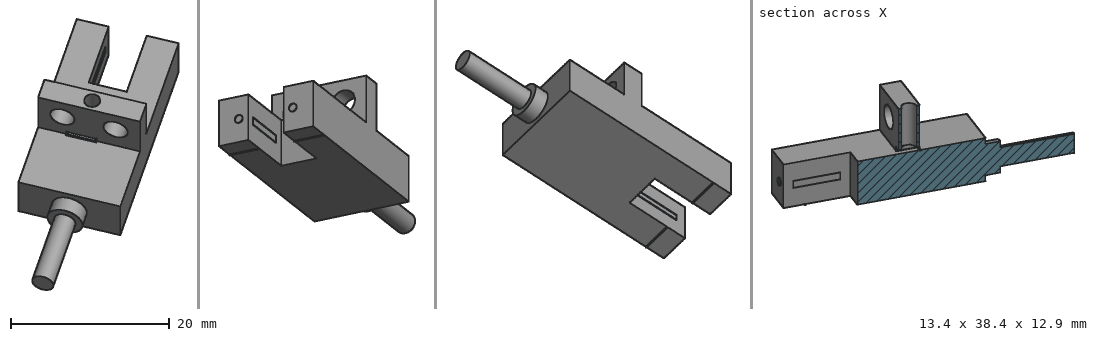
import cadquery as cq

total_length = 38.4
width = 13.4
total_height = 12.9
mark_height = 0.1
tip_pad_height = 0.1

cable_diameter = 2.8
cable_length = 10.0
collar_diameter = 4.6
collar_length = 2.0

body_height = 6.3
mid_height = body_height / 2
body_back = cable_length + collar_length
body_tip = total_length - tip_pad_height
body_length = body_tip - body_back
slot_width = 5.0
slot_depth = 9.02
arm_width = (width - slot_width) / 2
arm_center = (slot_width + arm_width) / 2

plate_top = total_height - mark_height
plate_thickness = 2.88
plate_front = body_tip - 17.45
plate_center = plate_front + plate_thickness / 2
mount_diameter = 3.2
mount_spacing = 7.0
mount_z = plate_top - 3.0

indicator_diameter = 2.0
window_length = 4.0
window_height = 0.45
window_right = indicator_diameter / 2
window_center = window_right - window_length / 2
recess_depth = 0.1
recess_overhang = 0.15
insert_margin = 0.2

tip_pad_diameter = 1.08
tip_pad_spacing = 2 * 3.85
mark_width = 0.1
mark_setback = 2.9
slit_height = 1.0
slit_depth = 0.08
slit_setback = 1.35
slit_length = slot_depth - 2 * slit_setback


def block(size_x, size_y, size_z, x, y, z):
    """Box centred in X on x, starting at y and z."""
    box = cq.Workplane("XY").box(size_x, size_y, size_z, centered=(True, False, False))
    return box.translate((x, y, z))


def rod(diameter, length, x, y, z):
    """Cylinder running toward +Y from the given point."""
    return cq.Workplane("XZ", origin=(x, y, z)).circle(diameter / 2).extrude(-length)


result = block(width, body_length, body_height, 0, body_back, 0)
result = result.cut(block(slot_width, slot_depth, body_height, 0, body_tip - slot_depth, 0))
result = result.union(block(width, plate_thickness, plate_top, 0, plate_front, 0))

result = result.union(rod(collar_diameter, collar_length, 0, cable_length, mid_height))
result = result.union(rod(cable_diameter, body_back, 0, 0, mid_height))

for side in (-1, 1):
    hole = rod(mount_diameter, plate_thickness, side * mount_spacing / 2, plate_front, mount_z)
    result = result.cut(hole)

window = block(window_length, plate_thickness, window_height, window_center, plate_front, body_height)
recess = block(
    window_length,
    plate_thickness + recess_overhang,
    recess_depth,
    window_center,
    plate_front - recess_overhang,
    body_height - recess_depth,
)
result = result.cut(window).cut(recess)

insert = block(
    window_length - 2 * insert_margin,
    plate_thickness,
    recess_depth,
    window_center,
    plate_front,
    body_height - recess_depth,
)
result = result.union(insert)

indicator = (
    cq.Workplane("XY", origin=(0, plate_center, body_height))
    .circle(indicator_diameter / 2)
    .extrude(plate_top - body_height)
)
result = result.cut(indicator)

for side in (-1, 1):
    tip_pad = rod(tip_pad_diameter, tip_pad_height, side * tip_pad_spacing / 2, body_tip, mid_height)
    mark = block(
        arm_width,
        mark_width,
        mark_height,
        side * arm_center,
        body_tip - mark_setback - mark_width / 2,
        -mark_height,
    )
    slit = block(
        slit_depth,
        slit_length,
        slit_height,
        side * (slot_width + slit_depth) / 2,
        body_tip - slit_setback - slit_length,
        mid_height - slit_height / 2,
    )
    result = result.union(tip_pad).union(mark).cut(slit)